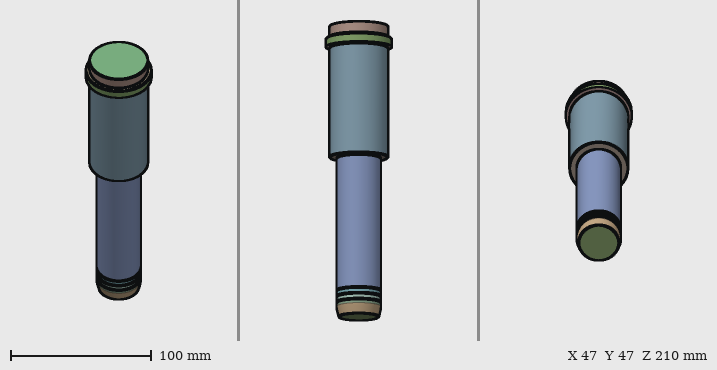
import cadquery as cq

total_length = 210.0
body_radius = 21.0
shank_radius = 16.0
flange_radius = 23.5

flange_top = 9.0
flange_thickness = 6.0
body_length = 95.0

body_chamfer = 0.6
flange_chamfer = 0.6
tip_chamfer = 0.6

neck_width = 0.6
neck_radius = body_radius - body_chamfer

undercut_width = 0.8
undercut_depth = 0.5

groove_count = 3
groove_pitch = 4.2
groove_width = 1.3
groove_depth = 0.5
first_groove_center = 191.0

lead_length = 7.5
lead_end_radius = 14.5
lead_mid_radius = 15.3

top = total_length / 2
bottom = -top
lead_start = bottom + lead_length
flange_bottom = flange_top + flange_thickness


def band(radius, upper, lower):
    """Solid disc between two distances below the top face."""
    return cq.Workplane("XY").workplane(offset=top - lower).circle(radius).extrude(lower - upper)


def revolve_about_z(profile):
    """Turn a closed half-section in the XZ plane into a solid."""
    return profile.revolve(360, (0, 0, 0), (0, 1, 0))


def make_body():
    head = band(body_radius, 0, flange_top - neck_width).edges().chamfer(body_chamfer)
    flange = band(flange_radius, flange_top, flange_bottom).faces(">Z").edges().chamfer(flange_chamfer)
    sleeve = band(body_radius, flange_bottom + neck_width, body_length).edges().chamfer(body_chamfer)
    neck = band(neck_radius, flange_top - neck_width, flange_bottom + neck_width)
    return head.union(neck).union(flange).union(sleeve)


def make_shank():
    undercut_radius = shank_radius - undercut_depth
    undercut_bottom = top - body_length - undercut_width
    profile = (
        cq.Workplane("XZ")
        .moveTo(0, bottom)
        .lineTo(lead_end_radius - tip_chamfer, bottom)
        .lineTo(lead_end_radius, bottom + tip_chamfer)
        .threePointArc((lead_mid_radius, bottom + lead_length / 2), (shank_radius, lead_start))
        .lineTo(shank_radius, undercut_bottom)
        .lineTo(undercut_radius, undercut_bottom)
        .lineTo(undercut_radius, top - body_length)
        .lineTo(0, top - body_length)
        .close()
    )
    return revolve_about_z(profile)


def groove_cutter(center_height):
    """Triangular ring that cuts one V groove into the shank."""
    profile = (
        cq.Workplane("XZ")
        .moveTo(shank_radius, center_height - groove_width / 2)
        .lineTo(shank_radius - groove_depth, center_height)
        .lineTo(shank_radius, center_height + groove_width / 2)
        .close()
    )
    return revolve_about_z(profile)


result = make_body().union(make_shank())
for index in range(groove_count):
    result = result.cut(groove_cutter(top - first_groove_center - index * groove_pitch))